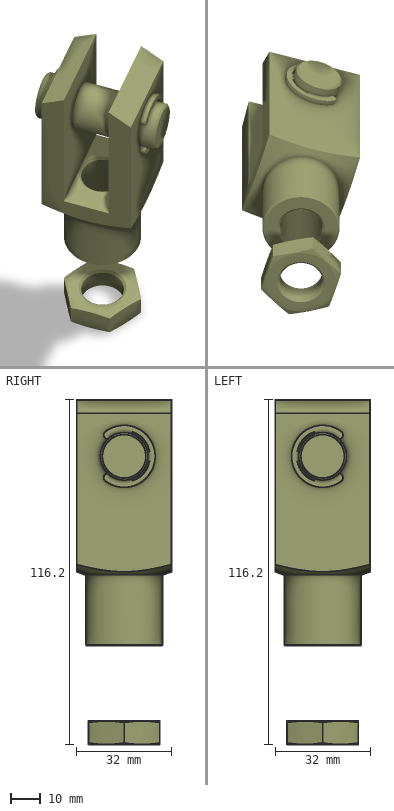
import cadquery as cq
import math

total_height = 116.2
fork_height = 83.0
fork_width = 32.0
slot_width = 16.0
slot_depth = 51.0
neck_diameter = 26.0
neck_length = 23.9
neck_chamfer = 0.5
top_slope_angle = 30.0
shoulder_angle = 20.0

bore_diameter = 14.4
bore_mouth_diameter = 16.0

pin_diameter = 16.0
pin_length = 43.0
pin_depth_from_top = 19.0
pin_chamfer = 0.7

clip_thickness = 1.9
clip_outer_radius = 10.5
clip_seat_radius = 7.5
clip_relief_radius = 8.7
clip_tip_angle = 53.0
relief_start_angle = 109.0
relief_end_angle = 169.0

nut_height = 8.0
nut_across_flats = 24.0
nut_face_diameter = 23.5
nut_chamfer_angle = 15.0

fork_bottom = total_height - fork_height
shoulder_z = fork_bottom + neck_length
slot_floor_z = total_height - slot_depth
pin_z = total_height - pin_depth_from_top
half_width = fork_width / 2
cheek_thickness = (fork_width - slot_width) / 2


def tangent(degrees):
    return math.tan(math.radians(degrees))


def revolve_about_z(profile_points):
    """Turn a closed (radius, z) profile about the Z axis."""
    return cq.Workplane("XZ").polyline(profile_points).close().revolve(360, (0, 0), (0, 1))


def threaded_bore(bottom_z, top_z):
    """Cutter for a through bore with a 45 degree countersink at both ends."""
    bore_radius = bore_diameter / 2
    mouth_radius = bore_mouth_diameter / 2
    countersink = mouth_radius - bore_radius
    return revolve_about_z([
        (0, bottom_z),
        (mouth_radius, bottom_z),
        (bore_radius, bottom_z + countersink),
        (bore_radius, top_z - countersink),
        (mouth_radius, top_z),
        (0, top_z),
    ])


def make_fork():
    slope_drop = cheek_thickness * tangent(top_slope_angle)
    block = (
        cq.Workplane("XZ")
        .polyline([
            (-half_width, shoulder_z),
            (half_width, shoulder_z),
            (half_width, total_height - slope_drop),
            (slot_width / 2, total_height),
            (-slot_width / 2, total_height),
            (-half_width, total_height - slope_drop),
        ])
        .close()
        .extrude(half_width, both=True)
    )

    neck_radius = neck_diameter / 2
    envelope_radius = fork_width
    cone_rise = (envelope_radius - neck_radius) * tangent(shoulder_angle)
    shoulder_envelope = revolve_about_z([
        (0, shoulder_z),
        (neck_radius, shoulder_z),
        (envelope_radius, shoulder_z + cone_rise),
        (envelope_radius, total_height),
        (0, total_height),
    ])
    block = block.intersect(shoulder_envelope)

    neck = (
        cq.Workplane("XY", origin=(0, 0, fork_bottom))
        .circle(neck_radius)
        .extrude(neck_length)
        .faces("<Z")
        .chamfer(neck_chamfer)
    )
    slot = (
        cq.Workplane("XY", origin=(0, 0, slot_floor_z))
        .rect(slot_width, fork_width)
        .extrude(slot_depth)
    )
    return block.union(neck).cut(slot).cut(threaded_bore(fork_bottom, slot_floor_z))


def make_pin():
    return (
        cq.Workplane("YZ", origin=(-pin_length / 2, 0, pin_z))
        .circle(pin_diameter / 2)
        .extrude(pin_length)
        .faces("<X or >X")
        .chamfer(pin_chamfer)
    )


def clip_point(radius, angle):
    """Point in the YZ plane about the pin axis, with the angle measured from -Y."""
    radians = math.radians(angle)
    return (-radius * math.cos(radians), radius * math.sin(radians))


def clip_sector(plane, inner_radius, outer_radius, start_angle, end_angle):
    """Ring sector of clip thickness between two angles."""
    middle_angle = (start_angle + end_angle) / 2
    return (
        plane.moveTo(*clip_point(outer_radius, start_angle))
        .threePointArc(clip_point(outer_radius, middle_angle), clip_point(outer_radius, end_angle))
        .lineTo(*clip_point(inner_radius, end_angle))
        .threePointArc(clip_point(inner_radius, middle_angle), clip_point(inner_radius, start_angle))
        .close()
        .extrude(clip_thickness)
    )


def make_clip(clip_x):
    """C-shaped clip with rounded tips and two reliefs along its inner edge."""
    plane = cq.Workplane("YZ", origin=(clip_x, 0, pin_z))
    clip = clip_sector(plane, clip_seat_radius, clip_outer_radius, clip_tip_angle, 360 - clip_tip_angle)

    tip_radius = (clip_outer_radius - clip_seat_radius) / 2
    tip_center_radius = (clip_outer_radius + clip_seat_radius) / 2
    tip_centers = [clip_point(tip_center_radius, side * clip_tip_angle) for side in (1, -1)]
    clip = clip.union(plane.pushPoints(tip_centers).circle(tip_radius).extrude(clip_thickness))

    for side in (1, -1):
        start_angle = side * relief_start_angle
        end_angle = side * relief_end_angle
        clip = clip.cut(clip_sector(plane, clip_seat_radius, clip_relief_radius, start_angle, end_angle))
    return clip


def make_fork_assembly():
    """Fork, pin and clips joined into one solid."""
    assembly = make_fork().union(make_pin())
    for clip_x in (-half_width - clip_thickness, half_width):
        assembly = assembly.union(make_clip(clip_x))
    return assembly


def make_nut():
    across_corners = nut_across_flats / math.cos(math.radians(30))
    hexagon = cq.Workplane("XY").polygon(6, across_corners).extrude(nut_height)

    face_radius = nut_face_diameter / 2
    corner_radius = across_corners / 2
    bevel_height = (corner_radius - face_radius) * tangent(nut_chamfer_angle)
    bevel_envelope = revolve_about_z([
        (0, 0),
        (face_radius, 0),
        (corner_radius, bevel_height),
        (corner_radius, nut_height - bevel_height),
        (face_radius, nut_height),
        (0, nut_height),
    ])
    return hexagon.intersect(bevel_envelope).cut(threaded_bore(0, nut_height))


fork_assembly = make_fork_assembly()
nut = make_nut()

result = cq.Compound.makeCompound([fork_assembly.val(), nut.val()])